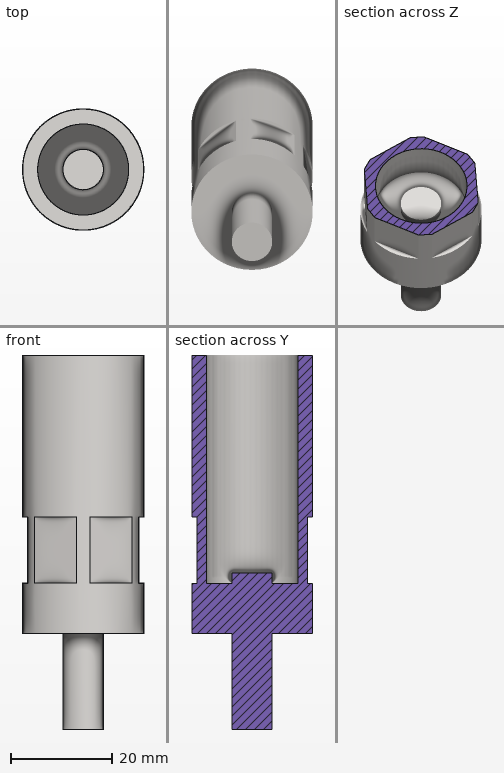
import cadquery as cq

BODY_DIAMETER = 24.0
BORE_DIAMETER = 18.0
PIN_DIAMETER = 8.0
ACROSS_FLATS = 22.0
FLAT_COUNT = 6

PIN_LENGTH = 19.0
COLLAR_HEIGHT = 10.0
FLATS_HEIGHT = 13.0
SLEEVE_HEIGHT = 32.0
PIN_STANDOUT = 2.0

BODY_BOTTOM = PIN_LENGTH
FLATS_BOTTOM = BODY_BOTTOM + COLLAR_HEIGHT
FLATS_TOP = FLATS_BOTTOM + FLATS_HEIGHT
BODY_TOP = FLATS_TOP + SLEEVE_HEIGHT
BORE_FLOOR = FLATS_BOTTOM


def cylinder(diameter, bottom, top):
    """Cylinder on the Z axis between two heights."""
    return cq.Workplane("XY").workplane(offset=bottom).circle(diameter / 2).extrude(top - bottom)


def flat_cutter(angle):
    """Block that removes the material outside one wrench flat."""
    block = cq.Workplane("XY").box(
        BODY_DIAMETER, BODY_DIAMETER, FLATS_HEIGHT, centered=(False, True, False)
    )
    placed = block.translate((ACROSS_FLATS / 2, 0, FLATS_BOTTOM))
    return placed.rotate((0, 0, 0), (0, 0, 1), angle)


def make_body():
    """Round sleeve with a blind bore and a ring of wrench flats."""
    body = cylinder(BODY_DIAMETER, BODY_BOTTOM, BODY_TOP)
    for index in range(FLAT_COUNT):
        body = body.cut(flat_cutter(index * 360 / FLAT_COUNT))
    return body.cut(cylinder(BORE_DIAMETER, BORE_FLOOR, BODY_TOP))


def make_pin():
    """Pin that passes through the floor and ends just inside the bore."""
    return cylinder(PIN_DIAMETER, 0, BORE_FLOOR + PIN_STANDOUT)


result = make_body().union(make_pin())